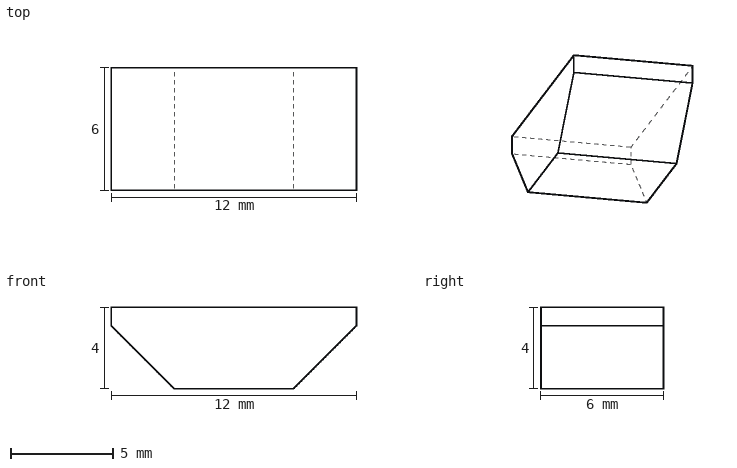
import cadquery as cq

length = 12.0
width = length / 2
height = length / 3

bevel = 3.1

block = cq.Workplane("XY").box(length, width, height, centered=(True, True, False))

result = block.faces("<Z").edges("|Y").chamfer(bevel)